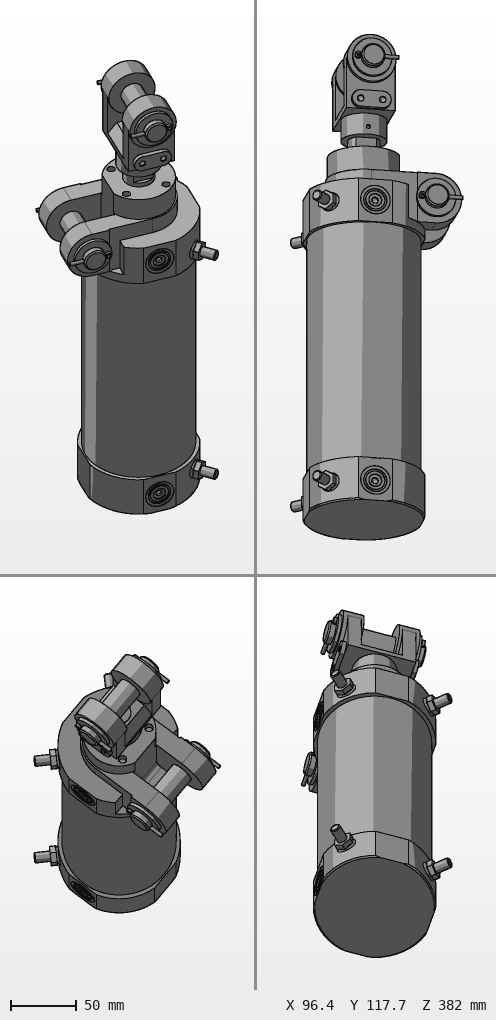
import cadquery as cq
import math

CAP_HEIGHT = 34.5
TOP_CAP_BASE = 225.5
TOP_CAP_TOP = TOP_CAP_BASE + CAP_HEIGHT
EAR_PLATE_TOP = 273.0
GLAND_TOP = 292.2
COUPLING_BASE = 306.0
CLEVIS_BASE = 322.8
OVERALL_HEIGHT = 382.0

TUBE_DIAMETER = 87.0
CAP_DIAMETER = 93.2
CAP_ACROSS_FLATS = 89.5
CAP_EDGE_CHAMFER = 1.0
GLAND_DIAMETER = 56.0
GLAND_FLAT_Y = -25.2
ROD_SOCKET_DEPTH = 32.0

EAR_DIAMETER = 40.0
EAR_HALF_WIDTH = 29.5
EAR_BASE = EAR_PLATE_TOP - EAR_DIAMETER
EAR_SEAT_Y = -26.7
EAR_PAD_Y = -35.5
HINGE_PIN_Y = -49.5
HINGE_PIN_Z = EAR_PLATE_TOP - EAR_DIAMETER / 2
EAR_SLOT_FLOOR = 229.2
EAR_SLOT_FILLET = 4.5

JOINT_HALF_GAP = 14.0
JOINT_HALF_WIDTH = 30.5
WASHER_DIAMETER = 30.0
WASHER_THICKNESS = 2.5
PIN_DIAMETER = 18.0
PIN_HALF_LENGTH = 38.5
PIN_CHAMFER = 1.0

COTTER_X = 35.0
COTTER_DIAMETER = 3.0
COTTER_TAIL = 20.0
COTTER_EYE_DIAMETER = 5.0
COTTER_EYE_HOLE = 2.3
COTTER_EYE_THICKNESS = 2.3

PORT_OFFSET = 16.5
PORT_SPOTFACE_DIAMETER = 23.0
PORT_SPOTFACE_DEPTH = 0.5
PORT_GROOVE_DIAMETER = 18.0
PORT_PLUG_DIAMETER = 15.0
PORT_GROOVE_DEPTH = 0.8
PORT_SOCKET_DIAMETER = 10.0
PORT_SOCKET_DEPTH = 1.0
PORT_DRILL_DIAMETER = 5.0
PORT_DRILL_DEPTH = 2.0
VALVE_OFFSET_LEFT = 16.5
VALVE_OFFSET_RIGHT = 23.3
VALVE_ANGLE = 45
VALVE_STEM_DIAMETER = 8.0
VALVE_STEM_CHAMFER = 0.8
VALVE_STEM_END = 65.0
VALVE_SEAT_DIAMETER = 20.0
VALVE_SEAT_HEIGHT = 4.5
VALVE_SEAT_LAND = 0.5
VALVE_HEX_CORNERS = 15.3
VALVE_HEX_START = 48.0
VALVE_HEX_END = 52.7
VALVE_SEAT_START = VALVE_HEX_START - VALVE_SEAT_HEIGHT

GLAND_HOLE_COUNT = 4
GLAND_HOLE_ANGLE = 45
GLAND_HOLE_CIRCLE = 46.0
GLAND_HOLE_DIAMETER = 6.0
GLAND_HOLE_DEPTH = 7.5

ROD_DIAMETER = 25.0
ROD_ACROSS_FLATS = 19.0
ROD_FLAT_BASE = 296.0
COUPLING_DIAMETER = 35.0
SET_SCREW_Z = 312.0
CLEVIS_DEPTH = 38.0
CLEVIS_HALF_WIDTH = 27.0
CLEVIS_INNER_HALF = 16.5
CLEVIS_PIN_Z = OVERALL_HEIGHT - CLEVIS_DEPTH / 2
CLEVIS_FLOOR = 336.0
CLEVIS_FLOOR_HALF = 11.5
CLEVIS_LIP_Z = 327.8
ROD_END_HOLE_DIAMETER = 18.0
ROD_END_HOLE_DEPTH = 0.8
SIDE_PAD_LENGTH = 30.0
SIDE_PAD_HEIGHT = 13.5
SIDE_PAD_Z = 330.0
SIDE_HOLE_SPACING = 17.0
SIDE_HOLE_DIAMETER = 5.0
SIDE_HOLE_DEPTH = 1.0
SET_SCREW_DIAMETER = 3.0
SET_SCREW_DEPTH = 2.0

DRILL_POINT_HALF_ANGLE = 59


def box(x0, x1, y0, y1, z0, z1):
    return cq.Workplane("XY").box(x1 - x0, y1 - y0, z1 - z0, centered=False).translate((x0, y0, z0))


def disc_z(diameter, z0, z1):
    return cq.Workplane("XY").workplane(offset=z0).circle(diameter / 2).extrude(z1 - z0)


def disc_x(diameter, x0, x1, y, z):
    return cq.Workplane("YZ").workplane(offset=x0).center(y, z).circle(diameter / 2).extrude(x1 - x0)


def drill_x(diameter, x, depth, y, z, side):
    """Drilled hole with a conical bottom, entering at side * x towards the axis."""
    radius = diameter / 2
    point = radius / math.tan(math.radians(DRILL_POINT_HALF_ANGLE))
    profile = [(0, 0), (0, radius), (-depth, radius), (-depth - point, 0)]
    tool = cq.Workplane("XY").polyline(profile).close().revolve(360, (0, 0, 0), (1, 0, 0))
    if side < 0:
        tool = tool.mirror("YZ")
    return tool.translate((side * x, y, z))


def make_cap(z0):
    """Round cap with four flats."""
    half = CAP_ACROSS_FLATS / 2
    top = z0 + CAP_HEIGHT
    return disc_z(CAP_DIAMETER, z0, top).intersect(box(-half, half, -half, half, z0, top))


def make_bottom_cap():
    """Cap whose round corners are chamfered at the lower end."""
    chamfered = disc_z(CAP_DIAMETER, 0, CAP_HEIGHT).faces("<Z").chamfer(CAP_EDGE_CHAMFER)
    return make_cap(0).intersect(chamfered)


def make_ears():
    """Plate around the gland whose two arms carry the hinge pin in front of the cap."""
    plate = disc_z(2 * EAR_HALF_WIDTH, TOP_CAP_TOP, EAR_PLATE_TOP)
    plate = plate.union(
        box(-EAR_HALF_WIDTH, EAR_HALF_WIDTH, EAR_SEAT_Y, 0, TOP_CAP_TOP, EAR_PLATE_TOP)
    )
    arms = box(-EAR_HALF_WIDTH, EAR_HALF_WIDTH, HINGE_PIN_Y, EAR_SEAT_Y, EAR_BASE, EAR_PLATE_TOP)
    pads = box(-JOINT_HALF_WIDTH, JOINT_HALF_WIDTH, HINGE_PIN_Y, EAR_PAD_Y, EAR_BASE, EAR_PLATE_TOP)
    round_ends = disc_x(EAR_DIAMETER, -JOINT_HALF_WIDTH, JOINT_HALF_WIDTH, HINGE_PIN_Y, HINGE_PIN_Z)
    behind_pads = box(-OVERALL_HEIGHT, OVERALL_HEIGHT, EAR_PAD_Y, 0, 0, OVERALL_HEIGHT)
    return plate.union(arms).union(pads).union(round_ends.cut(behind_pads))


def make_ear_slot():
    """Gap between the ears, rounded where its back wall meets its floor."""
    front = HINGE_PIN_Y - EAR_DIAMETER
    slot = box(-JOINT_HALF_GAP, JOINT_HALF_GAP, front, GLAND_FLAT_Y, EAR_SLOT_FLOOR, GLAND_TOP)
    return slot.edges("|X and >Y and <Z").fillet(EAR_SLOT_FILLET)


def make_washers(y, z):
    """Raised washer faces on the outer sides of a pin joint."""
    outer = JOINT_HALF_WIDTH + WASHER_THICKNESS
    left = disc_x(WASHER_DIAMETER, -outer, -JOINT_HALF_WIDTH, y, z)
    return left.union(left.mirror("YZ"))


def make_valve(z, side):
    """Needle valve with 45-degree seat, hexagon and stem, pointing outwards and back."""
    hexagon = (
        cq.Workplane("YZ").workplane(offset=VALVE_HEX_START)
        .transformed(rotate=(0, 0, 90))
        .polygon(6, VALVE_HEX_CORNERS).extrude(VALVE_HEX_END - VALVE_HEX_START)
    )
    seat = disc_x(VALVE_SEAT_DIAMETER, VALVE_SEAT_START, VALVE_HEX_START, 0, 0)
    seat = seat.faces(">X").chamfer(VALVE_SEAT_HEIGHT - VALVE_SEAT_LAND)
    stem = disc_x(VALVE_STEM_DIAMETER, VALVE_SEAT_START, VALVE_STEM_END, 0, 0)
    stem = stem.faces(">X").chamfer(VALVE_STEM_CHAMFER)
    angle = VALVE_ANGLE if side > 0 else 180 - VALVE_ANGLE
    return stem.union(seat).union(hexagon).rotate((0, 0, 0), (0, 0, 1), angle).translate((0, 0, z))


def make_port(z, side):
    """Spotface around a plug set off by a ring groove, with a stepped socket in its middle."""
    face = CAP_ACROSS_FLATS / 2
    floor = face - PORT_SPOTFACE_DEPTH
    spotface = disc_x(PORT_SPOTFACE_DIAMETER, floor, face, 0, z)
    groove = disc_x(PORT_GROOVE_DIAMETER, floor - PORT_GROOVE_DEPTH, floor, 0, z)
    groove = groove.cut(disc_x(PORT_PLUG_DIAMETER, floor - PORT_GROOVE_DEPTH, floor, 0, z))
    socket = disc_x(PORT_SOCKET_DIAMETER, floor - PORT_SOCKET_DEPTH, floor, 0, z)
    port = spotface.union(groove).union(socket)
    if side < 0:
        port = port.mirror("YZ")
    drill_start = floor - PORT_SOCKET_DEPTH
    return port.union(drill_x(PORT_DRILL_DIAMETER, drill_start, PORT_DRILL_DEPTH, 0, z, side))


def make_housing():
    body = disc_z(TUBE_DIAMETER, CAP_HEIGHT, TOP_CAP_BASE)
    body = body.union(make_bottom_cap())

    ear_seat = box(-CAP_DIAMETER, CAP_DIAMETER, -CAP_DIAMETER, EAR_SEAT_Y, EAR_BASE, TOP_CAP_TOP)
    body = body.union(make_cap(TOP_CAP_BASE).cut(ear_seat))

    body = body.union(make_ears())
    gland = disc_z(GLAND_DIAMETER, TOP_CAP_TOP, GLAND_TOP)
    gland = gland.cut(
        box(-GLAND_DIAMETER, GLAND_DIAMETER, -GLAND_DIAMETER, GLAND_FLAT_Y, TOP_CAP_TOP, GLAND_TOP)
    )
    body = body.union(gland).cut(make_ear_slot())
    body = body.union(make_washers(HINGE_PIN_Y, HINGE_PIN_Z))
    body = body.cut(disc_x(PIN_DIAMETER, -PIN_HALF_LENGTH, PIN_HALF_LENGTH, HINGE_PIN_Y, HINGE_PIN_Z))

    screw_holes = (
        cq.Workplane("XY").workplane(offset=GLAND_TOP - GLAND_HOLE_DEPTH)
        .polarArray(GLAND_HOLE_CIRCLE / 2, GLAND_HOLE_ANGLE, 360, GLAND_HOLE_COUNT)
        .circle(GLAND_HOLE_DIAMETER / 2).extrude(GLAND_HOLE_DEPTH)
    )
    body = body.cut(screw_holes)

    for side, valve_offset in ((-1, VALVE_OFFSET_LEFT), (1, VALVE_OFFSET_RIGHT)):
        for z in (valve_offset, TOP_CAP_TOP - valve_offset):
            body = body.union(make_valve(z, side))
        for z in (PORT_OFFSET, TOP_CAP_TOP - PORT_OFFSET):
            body = body.cut(make_port(z, side))

    return body.cut(disc_z(ROD_DIAMETER, GLAND_TOP - ROD_SOCKET_DEPTH, GLAND_TOP))


def make_clevis_fork():
    """U-shaped fork with round ends, boss rings and a floor sloping down to both edges."""
    half = CLEVIS_DEPTH / 2
    fork = box(-CLEVIS_HALF_WIDTH, CLEVIS_HALF_WIDTH, -half, half, CLEVIS_BASE, CLEVIS_PIN_Z)
    gap_profile = [
        (-half, CLEVIS_LIP_Z),
        (-CLEVIS_FLOOR_HALF, CLEVIS_FLOOR),
        (CLEVIS_FLOOR_HALF, CLEVIS_FLOOR),
        (half, CLEVIS_LIP_Z),
        (half, OVERALL_HEIGHT),
        (-half, OVERALL_HEIGHT),
    ]
    gap = (
        cq.Workplane("YZ").workplane(offset=-CLEVIS_INNER_HALF)
        .polyline(gap_profile).close().extrude(2 * CLEVIS_INNER_HALF)
    )
    fork = fork.cut(gap)
    rings = disc_x(CLEVIS_DEPTH, -JOINT_HALF_WIDTH, JOINT_HALF_WIDTH, 0, CLEVIS_PIN_Z)
    rings = rings.cut(disc_x(CLEVIS_DEPTH, -JOINT_HALF_GAP, JOINT_HALF_GAP, 0, CLEVIS_PIN_Z))
    fork = fork.union(rings).union(make_washers(0, CLEVIS_PIN_Z))
    return fork.cut(disc_x(PIN_DIAMETER, -PIN_HALF_LENGTH, PIN_HALF_LENGTH, 0, CLEVIS_PIN_Z))


def make_side_pads():
    """Stadium-shaped pads on both outer faces of the fork, each with two drilled holes."""
    pads = (
        cq.Workplane("YZ").workplane(offset=-JOINT_HALF_WIDTH).center(0, SIDE_PAD_Z)
        .slot2D(SIDE_PAD_LENGTH, SIDE_PAD_HEIGHT).extrude(JOINT_HALF_WIDTH - CLEVIS_HALF_WIDTH)
    )
    pads = pads.union(pads.mirror("YZ"))
    for side in (-1, 1):
        for y in (-SIDE_HOLE_SPACING / 2, SIDE_HOLE_SPACING / 2):
            hole = drill_x(SIDE_HOLE_DIAMETER, JOINT_HALF_WIDTH, SIDE_HOLE_DEPTH, y, SIDE_PAD_Z, side)
            pads = pads.cut(hole)
    return pads


def make_rod_clevis():
    rod = disc_z(ROD_DIAMETER, GLAND_TOP - ROD_SOCKET_DEPTH, COUPLING_BASE)
    flat = box(ROD_ACROSS_FLATS / 2, ROD_DIAMETER, -ROD_DIAMETER, ROD_DIAMETER, ROD_FLAT_BASE, COUPLING_BASE)
    rod = rod.cut(flat).cut(flat.mirror("YZ"))

    coupling = disc_z(COUPLING_DIAMETER, COUPLING_BASE, CLEVIS_BASE)
    set_screw_hole = drill_x(
        SET_SCREW_DIAMETER, COUPLING_DIAMETER / 2, SET_SCREW_DEPTH, 0, SET_SCREW_Z, -1
    )
    coupling = coupling.cut(set_screw_hole)

    body = rod.union(coupling).union(make_clevis_fork()).union(make_side_pads())
    return body.cut(disc_z(ROD_END_HOLE_DIAMETER, CLEVIS_FLOOR - ROD_END_HOLE_DEPTH, CLEVIS_FLOOR))


def make_pin(y, z):
    pin = disc_x(PIN_DIAMETER, -PIN_HALF_LENGTH, PIN_HALF_LENGTH, y, z)
    pin = pin.faces("<X or >X").chamfer(PIN_CHAMFER)
    for side in (-1, 1):
        hole = (
            cq.Workplane("XZ").center(side * COTTER_X, z)
            .circle(COTTER_DIAMETER / 2).extrude(PIN_DIAMETER, both=True).translate((0, y, 0))
        )
        pin = pin.cut(hole)
    return pin


def make_cotter(x, y, z):
    """Straight cotter along Y with a ring-shaped eye resting against the back of its pin."""
    eye_y = (PIN_DIAMETER + COTTER_EYE_DIAMETER) / 2
    half = COTTER_EYE_THICKNESS / 2
    shank_start = eye_y - (COTTER_EYE_DIAMETER + COTTER_EYE_HOLE) / 4
    shank = (
        cq.Workplane("XZ").workplane(offset=-shank_start)
        .circle(COTTER_DIAMETER / 2).extrude(shank_start + COTTER_TAIL)
    )
    eye = disc_x(COTTER_EYE_DIAMETER, -half, half, eye_y, 0)
    eye_hole = disc_x(COTTER_EYE_HOLE, -COTTER_DIAMETER, COTTER_DIAMETER, eye_y, 0)
    return shank.union(eye).cut(eye_hole).translate((x, y, z))


housing = make_housing()
rod_clevis = make_rod_clevis()

pins = []
cotters = []
for joint_y, joint_z in ((HINGE_PIN_Y, HINGE_PIN_Z), (0, CLEVIS_PIN_Z)):
    pins.append(make_pin(joint_y, joint_z).solids().val())
    for cotter_x in (-COTTER_X, COTTER_X):
        cotters.append(make_cotter(cotter_x, joint_y, joint_z).solids().val())

result = cq.Compound.makeCompound([housing.solids().val(), rod_clevis.solids().val(), *pins, *cotters])